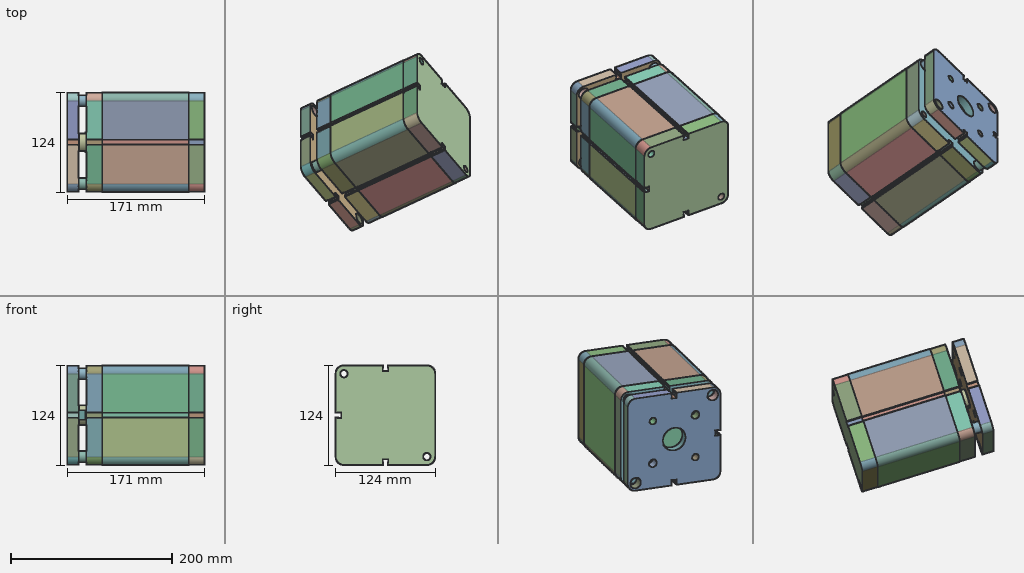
import cadquery as cq
import math


total_length = 171.0
plate_thickness = 14.4
plate_gap = 9.5
cover_length = 20.0
housing_start = plate_thickness + plate_gap
barrel_start = housing_start + cover_length
barrel_end = total_length - cover_length

barrel_width = 124.0
barrel_offset = 0.3
plate_width = barrel_width - 2 * barrel_offset
plate_corner_radius = 10.0

slot_mouth_width = 6.2
slot_inner_width = 7.2
slot_depth = 7.0
slot_lip = 2.5
slot_turns = (0, 90, 180)

corner_position = 51.5
guide_rod_diameter = 14.0
guide_corners = [(corner_position, corner_position), (-corner_position, -corner_position)]
fixing_corners = [(corner_position, -corner_position), (-corner_position, corner_position)]
access_hole_diameter = 14.0
fixing_hole_diameter = 8.9

recess_diameter = 30.1
recess_depth = 11.0
bolt_circle_radius = 40.0
bolt_position = bolt_circle_radius / math.sqrt(2)
thread_hole_diameter = 8.7
dowel_hole_diameter = 10.1
thread_hole_points = [(bolt_position, bolt_position), (-bolt_position, -bolt_position)]
dowel_hole_points = [(bolt_position, -bolt_position), (-bolt_position, bolt_position)]

piston_rod_diameter = 25.0
rod_chamfer = 0.5
flat_width = 22.0
flat_length = 8.4


def plane_at(x):
    """Workplane normal to +X at the given X; its local axes are Y and Z."""
    return cq.Workplane("YZ", origin=(x, 0, 0))


def cylinders(x, length, diameter, points):
    """Cylinders along +X starting at x, centred on (Y, Z) points."""
    return plane_at(x).pushPoints(points).circle(diameter / 2).extrude(length)


def slotted_block(x, length, offset=0.0):
    """Rounded square block with a T-slot in its +Z, -Y and -Z sides.

    A positive offset moves every wall of the outline outwards, so it widens
    the block and narrows its slots.
    """
    half_width = plate_width / 2 + offset
    block = plane_at(x).rect(2 * half_width, 2 * half_width).extrude(length)
    block = block.edges("|X").fillet(plate_corner_radius + offset)

    half_mouth = slot_mouth_width / 2 - offset
    half_inner = slot_inner_width / 2 - offset
    slot_floor = plate_width / 2 - slot_depth + offset
    lip_bottom = plate_width / 2 - slot_lip - offset
    slot = (
        plane_at(x)
        .moveTo(-half_mouth, half_width)
        .lineTo(-half_mouth, lip_bottom)
        .lineTo(-half_inner, lip_bottom)
        .lineTo(-half_inner, slot_floor)
        .lineTo(half_inner, slot_floor)
        .lineTo(half_inner, lip_bottom)
        .lineTo(half_mouth, lip_bottom)
        .lineTo(half_mouth, half_width)
        .close()
        .extrude(length)
    )
    for turn in slot_turns:
        block = block.cut(slot.rotate((0, 0, 0), (1, 0, 0), turn))
    return block


def make_yoke_plate():
    plate = slotted_block(0, plate_thickness)
    plate = plate.cut(cylinders(0, recess_depth, recess_diameter, [(0, 0)]))
    plate = plate.cut(cylinders(0, plate_thickness, thread_hole_diameter, thread_hole_points))
    plate = plate.cut(cylinders(0, plate_thickness, dowel_hole_diameter, dowel_hole_points))
    return plate.cut(cylinders(0, plate_thickness, access_hole_diameter, fixing_corners))


def make_housing():
    front_cover = slotted_block(housing_start, cover_length)
    barrel = slotted_block(barrel_start, barrel_end - barrel_start, barrel_offset)
    rear_cover = slotted_block(barrel_end, cover_length)
    housing = front_cover.union(barrel).union(rear_cover)
    housing_length = total_length - housing_start
    fixing_holes = cylinders(housing_start, housing_length, fixing_hole_diameter, fixing_corners)
    return housing.cut(fixing_holes)


def make_piston_rod():
    """Rod between plate and housing, with two wrench flats facing -Y and +Y."""
    rod = cylinders(plate_thickness, plate_gap, piston_rod_diameter, [(0, 0)])
    rod = rod.faces("<X").chamfer(rod_chamfer)
    flat_band = plane_at(plate_thickness).rect(piston_rod_diameter, piston_rod_diameter).extrude(flat_length)
    kept_middle = plane_at(plate_thickness).rect(flat_width, piston_rod_diameter).extrude(flat_length)
    return rod.cut(flat_band.cut(kept_middle))


def make_guide_rod(corner):
    return cylinders(plate_thickness, plate_gap, guide_rod_diameter, [corner])


yoke_plate = make_yoke_plate()
housing = make_housing()
piston_rod = make_piston_rod()
guide_rods = [make_guide_rod(corner) for corner in guide_corners]

result = cq.Compound.makeCompound(
    [yoke_plate.val(), housing.val(), piston_rod.val(), *[rod.val() for rod in guide_rods]]
)